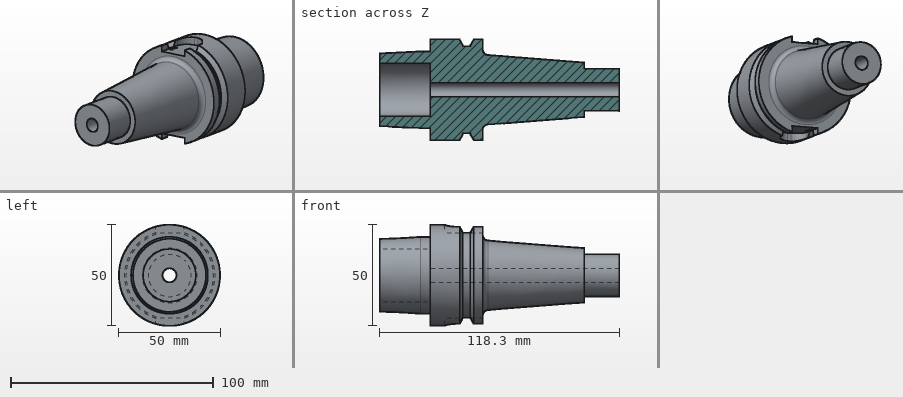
import cadquery as cq
import math


shank_taper_length = 20.0
flange_start = 25.0
flange_width = 26.0
flange_end = flange_start + flange_width
total_length = 118.3
pilot_length = 17.3
pilot_start = total_length - pilot_length

shank_face_radius = 18.0
shank_radius = 19.0
flange_radius = 25.0
nose_radius = 13.5
pilot_radius = 10.5

nose_half_angle = math.radians(4.5)
nose_fillet = 2.5

groove_start = 41.1
groove_width = 3.75
groove_floor_radius = 21.5
groove_wall_foot_radius = 22.25
groove_wall_angle = math.radians(30.0)

shank_bore_radius = 13.0
shank_bore_depth = flange_start
through_hole_radius = 3.4

slot_start = 32.0
slot_width = 14.0
slot_corner_radius = 6.0
slot_floor_height = 21.0


def turned_body():
    """Shank, flange, conical nose and pilot as one revolved outline."""
    nose_length = pilot_start - flange_end
    nose_root_radius = nose_radius + nose_length * math.tan(nose_half_angle)
    outline = (
        cq.Workplane("XY")
        .lineTo(0, shank_face_radius)
        .lineTo(shank_taper_length, shank_radius)
        .lineTo(flange_start, shank_radius)
        .lineTo(flange_start, flange_radius)
        .lineTo(flange_end, flange_radius)
        .lineTo(flange_end, nose_root_radius)
        .lineTo(pilot_start, nose_radius)
        .lineTo(pilot_start, pilot_radius)
        .lineTo(total_length, pilot_radius)
        .lineTo(total_length, 0)
        .close()
    )
    body = outline.revolve(360, (0, 0, 0), (1, 0, 0))
    box_reach = (nose_root_radius + flange_radius) / 2
    root_probe = cq.selectors.BoxSelector(
        (flange_end - nose_fillet / 2, -box_reach, -box_reach),
        (flange_end + nose_fillet / 2, box_reach, box_reach),
        boundingbox=True,
    )
    return body.edges(root_probe).fillet(nose_fillet)


def gripper_groove():
    """Ring with a narrow square floor below flared walls."""
    groove_end = groove_start + groove_width
    flare = (flange_radius - groove_wall_foot_radius) * math.tan(groove_wall_angle)
    outline = (
        cq.Workplane("XY")
        .moveTo(groove_start, groove_floor_radius)
        .lineTo(groove_start, groove_wall_foot_radius)
        .lineTo(groove_start - flare, flange_radius)
        .lineTo(groove_end + flare, flange_radius)
        .lineTo(groove_end, groove_wall_foot_radius)
        .lineTo(groove_end, groove_floor_radius)
        .close()
    )
    return outline.revolve(360, (0, 0, 0), (1, 0, 0))


def drive_slot(side):
    """Flat-floored slot with a rounded closed end; side is +1 for top, -1 for bottom."""
    slot_length = flange_end - slot_start
    slot_depth = flange_radius - slot_floor_height
    slot_center = (
        slot_start + slot_length / 2,
        0,
        side * (slot_floor_height + slot_depth / 2),
    )
    slot = cq.Workplane("XY").box(slot_length, slot_width, slot_depth)
    return slot.edges("|Z and <X").fillet(slot_corner_radius).translate(slot_center)


def axial_bore(radius, depth):
    """Round bore entering from the shank face."""
    return cq.Workplane("YZ").circle(radius).extrude(depth)


result = turned_body().cut(gripper_groove())
for side in (1, -1):
    result = result.cut(drive_slot(side))
result = result.cut(axial_bore(shank_bore_radius, shank_bore_depth))
result = result.cut(axial_bore(through_hole_radius, total_length))